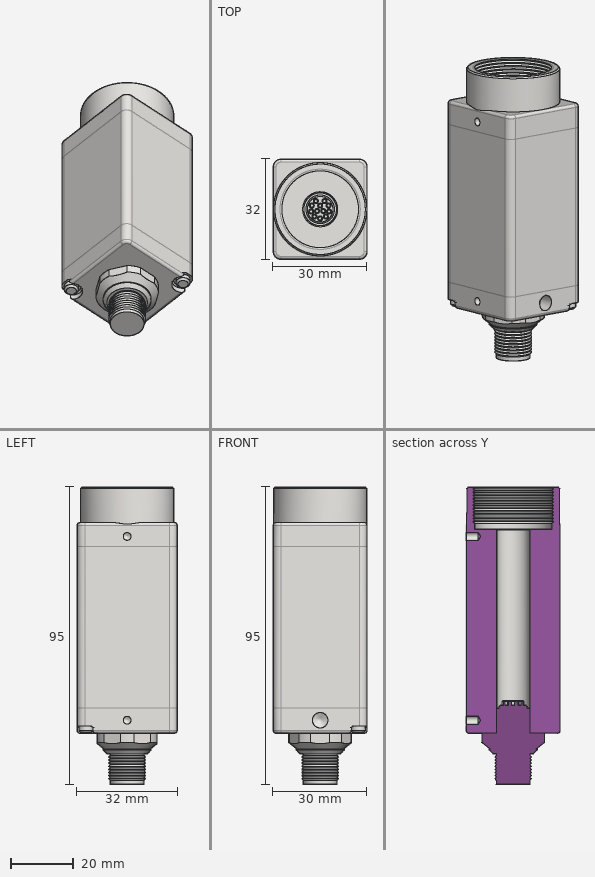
import cadquery as cq
import math

box_x = 30.0
box_y = 32.0
corner_radius = 2.5
edge_fillet = 0.95
box_bottom = 16.3
box_top = 83.65
bottom_cap_top = 24.4
top_cap_bottom = 76.0

total_height = 94.95
cup_radius = 14.9
rim_chamfer = 0.5
cup_floor = 81.6
cup_bore_radius = 12.25
cup_thread_radius = 12.8
cup_thread_bottom = 83.4
cup_thread_top = 94.9
cup_thread_ridges = 11

passage_radius = 5.6
passage_countersink = 0.4

drill_point_angle = 118.0
mount_hole_z = 20.5
front_hole_radius = 2.5
front_hole_depth = 5.7
side_hole_radius = 1.2
side_hole_depth = 3.8
side_hole_top_z = 79.2

pocket_radius = 3.6
pocket_inset = 2.85
pocket_top = 18.7
pocket_chamfer = 0.5
foot_radius = 2.3
foot_bottom = 16.5
foot_chamfer = 0.7

hex_across_flats = 19.2
hex_corner_radius = 10.1
nut_cone_top = 13.4
nut_cone_bottom = 11.3
nut_cone_radius = 7.4

collar_radius = 7.7
collar_lip = 0.3
collar_end_radius = 6.5
relief_top = 9.8
connector_thread_top = 9.3
connector_thread_bottom = 1.3
connector_thread_ridges = 8
connector_crest_radius = 5.9
connector_root_radius = 5.4

spigot_top = bottom_cap_top
insert_radius = 4.6
insert_height = 0.95
insert_chamfer = 0.5
contact_radius = 0.81
contact_height = 1.4
contact_chamfer = 0.3
outer_contact_count = 9
outer_contact_circle = 2.9
outer_contact_spacing = 38.0
inner_contact_count = 3
inner_contact_circle = 1.1
inner_contact_spacing = 360 / inner_contact_count


def disc(radius, bottom, top):
    """Cylinder on the Z axis between two heights."""
    return cq.Workplane("XY").workplane(offset=bottom).circle(radius).extrude(top - bottom)


def turned(profile):
    """Solid of revolution about Z from (radius, z) points."""
    return cq.Workplane("XZ").polyline(profile).close().revolve(360, (0, 0, 0), (0, 1, 0))


def thread_points(valley_radius, peak_radius, start, end, count):
    """Zigzag (radius, z) points of evenly spaced V ridges, from start upward to end."""
    pitch = (end - start) / count
    points = []
    for index in range(count):
        z = start + index * pitch
        points.append((valley_radius, z))
        points.append((peak_radius, z + pitch / 2))
    points.append((valley_radius, end))
    return points


def drill(radius, depth):
    """Blind hole along +Z from the origin, ending in a drill point."""
    point_length = radius / math.tan(math.radians(drill_point_angle / 2))
    return turned([(0, 0), (radius, 0), (radius, depth), (0, depth + point_length)])


def box_section(bottom, top):
    """One length of the housing, with rounded vertical edges."""
    section = cq.Workplane("XY").workplane(offset=bottom).rect(box_x, box_y).extrude(top - bottom)
    return section.edges("|Z").fillet(corner_radius)


def corner_pocket():
    """Counterbore standing on the bottom face, chamfered at its ceiling."""
    return disc(pocket_radius, 0, pocket_top).faces(">Z").chamfer(pocket_chamfer)


def corner_foot():
    """Round foot standing down from the pocket ceiling, chamfered at its lower end."""
    return disc(foot_radius, foot_bottom, pocket_top).faces("<Z").chamfer(foot_chamfer)


def make_bottom_cap():
    """Lower housing section with a pocket and foot in two opposite corners."""
    cap = box_section(box_bottom, bottom_cap_top).faces("<Z").edges().fillet(edge_fillet)
    for side in (-1, 1):
        pocket_x = side * (box_x / 2 - pocket_inset)
        pocket_y = -side * (box_y / 2 - pocket_inset)
        cap = cap.cut(corner_pocket().translate((pocket_x, pocket_y, 0)))
        cap = cap.union(corner_foot().translate((pocket_x, pocket_y, 0)))
    return cap


def cup_cavity():
    """Threaded bore of the cup, opening wider at the rim."""
    ridges = thread_points(
        cup_bore_radius, cup_thread_radius, cup_thread_bottom, cup_thread_top, cup_thread_ridges
    )
    profile = [(0, cup_floor), (cup_bore_radius, cup_floor)] + ridges
    profile += [(cup_thread_radius, total_height), (0, total_height)]
    return turned(profile)


def passage():
    """Through passage, countersunk at the cup floor."""
    countersink_start = cup_floor - passage_countersink
    return turned([
        (0, box_bottom),
        (passage_radius - passage_countersink, box_bottom),
        (passage_radius - passage_countersink, countersink_start),
        (passage_radius, cup_floor),
        (0, cup_floor),
    ])


def make_housing():
    bottom_cap = make_bottom_cap()
    sleeve = box_section(bottom_cap_top, top_cap_bottom)
    top_cap = box_section(top_cap_bottom, box_top).faces(">Z").edges().fillet(edge_fillet)
    cup = disc(cup_radius, top_cap_bottom, total_height).faces(">Z").chamfer(rim_chamfer)

    body = top_cap.union(cup)
    body = body.union(sleeve, clean=False).union(bottom_cap, clean=False)
    body = body.cut(cup_cavity(), clean=False).cut(passage(), clean=False)

    front_hole = drill(front_hole_radius, front_hole_depth).rotate((0, 0, 0), (1, 0, 0), -90)
    body = body.cut(front_hole.translate((0, -box_y / 2, mount_hole_z)), clean=False)
    side_hole = drill(side_hole_radius, side_hole_depth).rotate((0, 0, 0), (0, 1, 0), 90)
    for z in (mount_hole_z, side_hole_top_z):
        body = body.cut(side_hole.translate((-box_x / 2, 0, z)), clean=False)
    return body


def hex_nut():
    """Hexagon with two flats facing along Y, rounded corners and a coned lower end."""
    hexagon = (
        cq.Workplane("XY").workplane(offset=nut_cone_bottom)
        .polygon(6, hex_across_flats / math.cos(math.pi / 6))
        .extrude(box_bottom - nut_cone_bottom)
    )
    envelope = turned([
        (0, nut_cone_bottom),
        (nut_cone_radius, nut_cone_bottom),
        (hex_corner_radius, nut_cone_top),
        (hex_corner_radius, box_bottom),
        (0, box_bottom),
    ])
    return hexagon.intersect(envelope)


def threaded_stem():
    """Plain lead-in, V ridges, thread relief and the collar under the nut."""
    ridges = thread_points(
        connector_root_radius, connector_crest_radius,
        connector_thread_bottom, connector_thread_top, connector_thread_ridges
    )
    profile = [(0, 0), (connector_root_radius, 0)] + ridges
    profile += [
        (connector_root_radius, relief_top),
        (collar_end_radius, relief_top),
        (collar_radius, nut_cone_bottom - collar_lip),
        (collar_radius, nut_cone_bottom),
        (0, nut_cone_bottom),
    ]
    return turned(profile)


def contacts():
    """Nine outer and three inner contacts; the outer arc leaves a wider gap at +Y."""
    base = spigot_top + insert_height
    contact = disc(contact_radius, base, base + contact_height).faces(">Z").chamfer(contact_chamfer)
    first_outer_angle = -90 - outer_contact_spacing * (outer_contact_count - 1) / 2
    rings = (
        (outer_contact_count, outer_contact_circle, first_outer_angle, outer_contact_spacing),
        (inner_contact_count, inner_contact_circle, 90, inner_contact_spacing),
    )
    placed = []
    for count, circle_radius, start_angle, spacing in rings:
        for index in range(count):
            angle = math.radians(start_angle + index * spacing)
            offset = (circle_radius * math.cos(angle), circle_radius * math.sin(angle), 0)
            placed.append(contact.translate(offset))
    return placed


def make_connector():
    spigot_radius = passage_radius - passage_countersink
    insert_top = spigot_top + insert_height
    body = threaded_stem().union(hex_nut())
    body = body.union(disc(spigot_radius, box_bottom, spigot_top))
    body = body.union(disc(insert_radius, spigot_top, insert_top).faces(">Z").chamfer(insert_chamfer))
    for contact in contacts():
        body = body.union(contact)
    return body


housing = make_housing()
connector = make_connector()
result = cq.Compound.makeCompound([housing.val(), connector.val()])